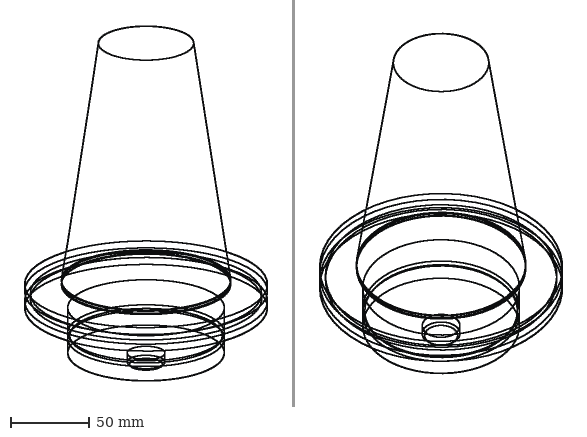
import cadquery as cq

total_height = 219.2
pin_length = 7.7
flange_bottom = 38.5
flange_top = 54.5
cone_base = 57.5

pin_diameter = 24.0
pin_chamfer_width = 1.5
pin_chamfer_height = 1.5

body_diameter = 100.0
body_groove_center = 19.5
body_groove_mouth = 4.0
body_groove_depth = 1.3

flange_diameter = 155.0
rim_groove_diameter = 147.5
rim_groove_center = (flange_bottom + flange_top) / 2
rim_groove_mouth = 6.5
rim_groove_floor = 3.7

cone_base_diameter = 108.0
cone_top_diameter = 61.0
collar_groove_diameter = 107.5
collar_groove_floor = 1.5


def cylinder(diameter, bottom, top):
    return cq.Workplane("XY").workplane(offset=bottom).circle(diameter / 2).extrude(top - bottom)


def revolve_profile(points):
    """Revolve a closed (radius, height) outline about the Z axis."""
    return cq.Workplane("XZ").polyline(points).close().revolve(360, (0, 0, 0), (0, 1, 0))


def ring_groove(outer_diameter, depth, center, mouth, floor=0.0):
    """Cutter for a groove narrowing from mouth to floor; a zero floor gives a V."""
    outer_radius = outer_diameter / 2
    floor_radius = outer_radius - depth
    points = [(outer_radius, center - mouth / 2), (floor_radius, center - floor / 2)]
    if floor > 0:
        points.append((floor_radius, center + floor / 2))
    points.append((outer_radius, center + mouth / 2))
    return revolve_profile(points)


def make_pin():
    radius = pin_diameter / 2
    return revolve_profile([
        (0, 0),
        (radius - pin_chamfer_width, 0),
        (radius, pin_chamfer_height),
        (radius, pin_length),
        (0, pin_length),
    ])


def make_body():
    body = cylinder(body_diameter, pin_length, flange_bottom)
    return body.cut(
        ring_groove(body_diameter, body_groove_depth, body_groove_center, body_groove_mouth)
    )


def make_flange():
    depth = (flange_diameter - rim_groove_diameter) / 2
    flange = cylinder(flange_diameter, flange_bottom, flange_top)
    return flange.cut(
        ring_groove(flange_diameter, depth, rim_groove_center, rim_groove_mouth, rim_groove_floor)
    )


def make_collar():
    depth = (cone_base_diameter - collar_groove_diameter) / 2
    center = (flange_top + cone_base) / 2
    collar = cylinder(cone_base_diameter, flange_top, cone_base)
    return collar.cut(
        ring_groove(cone_base_diameter, depth, center, cone_base - flange_top, collar_groove_floor)
    )


def make_cone():
    return revolve_profile([
        (0, cone_base),
        (cone_base_diameter / 2, cone_base),
        (cone_top_diameter / 2, total_height),
        (0, total_height),
    ])


result = make_pin().union(make_body()).union(make_flange()).union(make_collar()).union(make_cone())